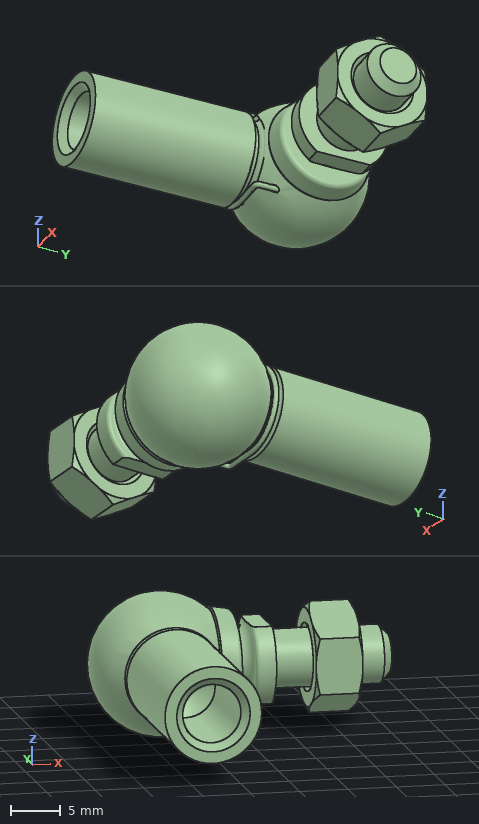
import cadquery as cq
import math


housing_radius = 7.4
overall_length = 32.35
shank_radius = 4.995
shank_end = overall_length - housing_radius
shank_start = 6.27
mouth_x = 5.0
thread_radius = 3.0
bore_depth = 12.95
drill_half_angle = math.radians(59)
bore_mouth_radius = 3.78
bore_chamfer = bore_mouth_radius - thread_radius

ball_radius = 4.995
seal_end = 7.4
collar_radius = 4.995
collar_face = 8.83
collar_end = 10.9
collar_round = 0.42
collar_flats = 8.0
neck_fillet = collar_face - seal_end
stud_end = 23.45
stud_chamfer = 0.97

seal_start_radius = 5.45
seal_max_radius = 5.63
seal_taper_radius = 5.35
seal_lip = 0.15
seal_round = 0.52

nut_start = 15.0
nut_width = 4.8
nut_flats = 10.0
nut_corners = nut_flats / math.cos(math.radians(30))
nut_face_radius = 5.05
nut_chamfer_length = 0.4
nut_countersink = 0.5

wire_radius = 0.307
clip_radius = 4.72
clip_y = -shank_start
clip_end_angle = math.radians(40)
clip_leg_x = 3.7
clip_bend = 0.4
clip_tip_y = -2.9
clip_hole_diameter = 0.7
groove_section_radius = 0.65
groove_ring_radius = 4.9
groove_y = -6.35


def revolve_about_x(outline):
    return outline.close().revolve(360, (0, 0, 0), (1, 0, 0))


def cylinder_along_y(radius, start, end):
    """Cylinder on the Y axis, from Y = -start to Y = -end."""
    return cq.Workplane("XZ", origin=(0, -start, 0)).circle(radius).extrude(end - start)


def make_threaded_bore():
    bottom = shank_end - bore_depth
    tip = bottom - thread_radius / math.tan(drill_half_angle)
    return (
        cq.Workplane("XY")
        .moveTo(0, -shank_end)
        .lineTo(bore_mouth_radius, -shank_end)
        .lineTo(thread_radius, -shank_end + bore_chamfer)
        .lineTo(thread_radius, -bottom)
        .lineTo(0, -tip)
        .close()
        .revolve(360, (0, 0, 0), (0, 1, 0))
    )


def make_housing():
    body = cq.Workplane("XY").sphere(housing_radius)
    body = body.union(cylinder_along_y(shank_radius, shank_start, shank_end))

    socket = cq.Workplane("YZ").circle(ball_radius).extrude(housing_radius)
    beyond_mouth = cq.Workplane("YZ", origin=(mouth_x, 0, 0)).circle(housing_radius).extrude(housing_radius)
    body = body.cut(cq.Workplane("XY").sphere(ball_radius)).cut(socket).cut(beyond_mouth)

    groove = cq.Workplane(cq.Solid.makeTorus(
        groove_ring_radius, groove_section_radius, cq.Vector(0, groove_y, 0), cq.Vector(0, 1, 0)
    ))
    leg_hole = (
        cq.Workplane("XZ", origin=(0, clip_tip_y, 0))
        .center(clip_leg_x, -clip_radius)
        .circle(clip_hole_diameter / 2)
        .extrude(clip_tip_y - clip_y)
    )
    return body.cut(groove).cut(leg_hole).cut(make_threaded_bore())


def make_ball_stud():
    neck_x = math.sqrt(ball_radius**2 - thread_radius**2)
    fillet_mid = neck_fillet * math.sin(math.radians(45))
    round_mid = collar_round * (1 - math.sin(math.radians(45)))
    stud = revolve_about_x(
        cq.Workplane("XY")
        .moveTo(-ball_radius, 0)
        .threePointArc((0, ball_radius), (neck_x, thread_radius))
        .lineTo(seal_end, thread_radius)
        .threePointArc(
            (seal_end + fillet_mid, thread_radius + neck_fillet - fillet_mid),
            (collar_face, thread_radius + neck_fillet),
        )
        .lineTo(collar_face, collar_radius - collar_round)
        .threePointArc(
            (collar_face + round_mid, collar_radius - round_mid),
            (collar_face + collar_round, collar_radius),
        )
        .lineTo(collar_end, collar_radius)
        .lineTo(collar_end, thread_radius)
        .lineTo(stud_end - stud_chamfer, thread_radius)
        .lineTo(stud_end, thread_radius - stud_chamfer)
        .lineTo(stud_end, 0)
    )

    collar_length = collar_end - seal_end
    for side in (-1, 1):
        flat = cq.Workplane("XY").box(collar_length, 2 * collar_radius, collar_radius)
        flat_z = side * (collar_flats + collar_radius) / 2
        stud = stud.cut(flat.translate((seal_end + collar_length / 2, 0, flat_z)))
    return stud


def make_seal():
    end_radius = seal_taper_radius - seal_round
    arc_mid = seal_round * math.sin(math.radians(45))
    return revolve_about_x(
        cq.Workplane("XY")
        .moveTo(mouth_x, thread_radius)
        .lineTo(mouth_x, seal_start_radius)
        .lineTo(mouth_x + seal_lip, seal_max_radius)
        .lineTo(seal_end - seal_round, seal_taper_radius)
        .threePointArc(
            (seal_end - seal_round + arc_mid, end_radius + arc_mid),
            (seal_end, end_radius),
        )
        .lineTo(seal_end, thread_radius)
    )


def make_nut():
    nut_end = nut_start + nut_width
    hexagon = (
        cq.Workplane("YZ", origin=(nut_start, 0, 0))
        .transformed(rotate=(0, 0, 90))
        .polygon(6, nut_corners)
        .extrude(nut_width)
    )
    chamfer_envelope = revolve_about_x(
        cq.Workplane("XY")
        .moveTo(nut_start, 0)
        .lineTo(nut_start, nut_face_radius)
        .lineTo(nut_start + nut_chamfer_length, nut_corners / 2)
        .lineTo(nut_end - nut_chamfer_length, nut_corners / 2)
        .lineTo(nut_end, nut_face_radius)
        .lineTo(nut_end, 0)
    )
    countersunk_hole = revolve_about_x(
        cq.Workplane("XY")
        .moveTo(nut_start, 0)
        .lineTo(nut_start, thread_radius + nut_countersink)
        .lineTo(nut_start + nut_countersink, thread_radius)
        .lineTo(nut_end - nut_countersink, thread_radius)
        .lineTo(nut_end, thread_radius + nut_countersink)
        .lineTo(nut_end, 0)
    )
    return hexagon.intersect(chamfer_envelope).cut(countersunk_hole)


def make_clip():
    free_end = (clip_radius * math.cos(clip_end_angle), clip_y, clip_radius * math.sin(clip_end_angle))
    bend_mid = clip_bend * math.sin(math.radians(45))
    ring = cq.Edge.makeThreePointArc(
        cq.Vector(*free_end), cq.Vector(-clip_radius, clip_y, 0), cq.Vector(0, clip_y, -clip_radius)
    )
    bend_start = cq.Vector(clip_leg_x - clip_bend, clip_y, -clip_radius)
    bend_end = cq.Vector(clip_leg_x, clip_y + clip_bend, -clip_radius)
    bend_middle = cq.Vector(
        clip_leg_x - clip_bend + bend_mid, clip_y + clip_bend - bend_mid, -clip_radius
    )
    straight = cq.Edge.makeLine(ring.endPoint(), bend_start)
    bend = cq.Edge.makeThreePointArc(bend_start, bend_middle, bend_end)
    leg = cq.Edge.makeLine(bend_end, cq.Vector(clip_leg_x, clip_tip_y, -clip_radius))
    path = cq.Wire.assembleEdges([ring, straight, bend, leg])
    section_plane = cq.Plane(origin=free_end, xDir=(0, 1, 0), normal=ring.tangentAt(0).toTuple())
    return cq.Workplane(section_plane).circle(wire_radius).sweep(path)


housing = make_housing()
ball_stud = make_ball_stud()
seal = make_seal()
nut = make_nut()
clip = make_clip()

result = cq.Compound.makeCompound([
    housing.solids().val(),
    ball_stud.solids().val(),
    seal.solids().val(),
    nut.solids().val(),
    clip.solids().val(),
])